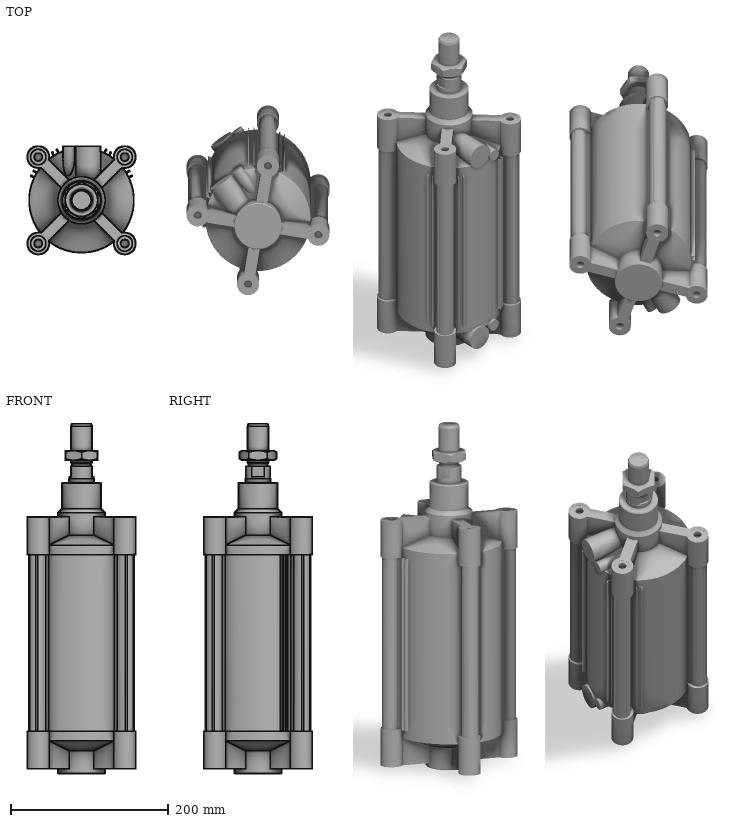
import cadquery as cq
import math


REAR_COLLAR_Z = 0.0
REAR_FACE_Z = 6.2
BARREL_BOTTOM_Z = 54.5
CAP_LENGTH = BARREL_BOTTOM_Z - REAR_FACE_Z
BARREL_TOP_Z = 278.5
NECK_TOP_Z = 370.2
ROD_SHOULDER_Z = 391.0
ROD_TOP_Z = 445.0
NUT_BOTTOM_Z = 398.5
NUT_HEIGHT = 12.0

BARREL_DIA = 133.5
BORE_DIA = 125.0
BEAD_DIA = 21.5
BEAD_OFFSET = 56.0
BEAD_GROOVE_OFFSET = 57.0
BEAD_GROOVE_WIDTH = 2.2
BEAD_GROOVE_DEPTH = 1.0
WEB_WIDTH = 15.0

CHANNEL_SPREAD = 16.3
CHANNEL_WIDTH = 8.0
CHANNEL_HEIGHT = 5.0
CHANNEL_MOUTH = 5.5
CHANNEL_WALL = 1.1

RIB_WIDTH = 14.2
RIM_HEIGHT = 12.0
CONE_HEIGHT = 13.0
COLLAR_DIA = 60.0
NECK_DIA = 50.0
NECK_CHAMFER = 1.0
COLLAR_STEP = 5.5
COLLAR_CHAMFER = 1.0
BOSS_DIA = 28.0
BOSS_OFFSET = 54.95
SCREW_HEAD_DIA = 19.5
SCREW_HEAD_DEPTH = 0.22
SOCKET_DIA = 10.2
SOCKET_DEPTH = 9.0
PORT_END_Y = BOSS_OFFSET + BOSS_DIA / 2
PORT_DIA = 31.5
PORT_X = 8.5
CUSHION_DIA = 15.0
CUSHION_X = -16.0
CUSHION_HEIGHT = 15.5

ROD_DIA = 32.0
ROD_END_DIA = 31.5
ROD_END_Z = 375.0
THREAD_DIA = 27.0
UNDERCUT_DIA = 24.5
UNDERCUT_HEIGHT = 2.5
UNDERCUT_TAPER = 2.2
TIP_DIA = 24.5
TIP_CHAMFER = 3.0
ROD_FLATS = 27.0
ROD_FLATS_BOTTOM_Z = 377.5
NUT_FLATS = 41.0

BACK_CORNER_ANGLES = [45, 135]


def rod_between(dia, bottom, top):
    """Cylinder on the Z axis between two heights."""
    return cq.Workplane("XY").workplane(offset=bottom).circle(dia / 2).extrude(top - bottom)


def corner_points(offset):
    return [(x, y) for x in (-offset, offset) for y in (-offset, offset)]


def diagonal_ribs(width, reach, bottom, top):
    """Crossing bars from the axis towards the four corners."""
    bars = cq.Workplane("XY").workplane(offset=bottom)
    bars = bars.transformed(rotate=(0, 0, 45)).rect(2 * reach, width).extrude(top - bottom)
    return bars.union(bars.rotate((0, 0, 0), (0, 0, 1), 90))


def sensor_channel(angle):
    """C-shaped channel that stands radially on the barrel at the given angle."""
    root = BORE_DIA / 2 + (BARREL_DIA - BORE_DIA) / 4
    tip = BARREL_DIA / 2 + CHANNEL_HEIGHT
    height = BARREL_TOP_Z - BARREL_BOTTOM_Z
    half_inside = CHANNEL_WIDTH / 2 - CHANNEL_WALL
    half_mouth = CHANNEL_MOUTH / 2
    half = [
        (root, CHANNEL_WIDTH / 2),
        (tip, CHANNEL_WIDTH / 2),
        (tip, half_mouth),
        (tip - CHANNEL_WALL, half_mouth),
        (tip - CHANNEL_WALL, half_inside),
        (root, half_inside),
    ]
    jaw = cq.Workplane("XY").workplane(offset=BARREL_BOTTOM_Z).polyline(half).close().extrude(height)
    return jaw.union(jaw.mirror("XZ")).rotate((0, 0, 0), (0, 0, 1), angle)


def make_barrel():
    height = BARREL_TOP_Z - BARREL_BOTTOM_Z
    base = cq.Workplane("XY").workplane(offset=BARREL_BOTTOM_Z)
    barrel = rod_between(BARREL_DIA, BARREL_BOTTOM_Z, BARREL_TOP_Z)

    bead_reach = BEAD_OFFSET * math.sqrt(2)
    barrel = barrel.union(diagonal_ribs(WEB_WIDTH, bead_reach, BARREL_BOTTOM_Z, BARREL_TOP_Z))
    barrel = barrel.union(base.pushPoints(corner_points(BEAD_OFFSET)).circle(BEAD_DIA / 2).extrude(height))

    groove_place = BEAD_OFFSET + BEAD_DIA / 2
    groove_size = 2 * BEAD_GROOVE_DEPTH
    x_side_points = [(x * groove_place, y * BEAD_GROOVE_OFFSET) for x, y in corner_points(1)]
    y_side_points = [(x * BEAD_GROOVE_OFFSET, y * groove_place) for x, y in corner_points(1)]
    x_side_grooves = base.pushPoints(x_side_points).rect(groove_size, BEAD_GROOVE_WIDTH).extrude(height)
    y_side_grooves = base.pushPoints(y_side_points).rect(BEAD_GROOVE_WIDTH, groove_size).extrude(height)
    barrel = barrel.cut(x_side_grooves).cut(y_side_grooves)

    for corner in BACK_CORNER_ANGLES:
        for angle in (corner - CHANNEL_SPREAD, corner + CHANNEL_SPREAD):
            barrel = barrel.union(sensor_channel(angle))

    return barrel.cut(rod_between(BORE_DIA, BARREL_BOTTOM_Z, BARREL_TOP_Z))


def side_stub(x, z, dia):
    """Cylinder along Y from the cap's middle to the port face."""
    return cq.Workplane("XZ").center(x, z).circle(dia / 2).extrude(-PORT_END_Y)


def cap_shell(collar_length):
    """End cap with its joint face at Z = 0, its outer face at Z = CAP_LENGTH and a round collar."""
    rim_radius = BARREL_DIA / 2
    cone_top = RIM_HEIGHT + CONE_HEIGHT
    profile = [
        (0, 0),
        (rim_radius, 0),
        (rim_radius, RIM_HEIGHT),
        (COLLAR_DIA / 2, cone_top),
        (0, cone_top),
    ]
    cap = cq.Workplane("XZ").polyline(profile).close().revolve(360, (0, 0), (0, 1))
    cap = cap.union(rod_between(COLLAR_DIA, 0, collar_length))
    cap = cap.union(diagonal_ribs(RIB_WIDTH, BOSS_OFFSET * math.sqrt(2), 0, CAP_LENGTH))
    bosses = cq.Workplane("XY").pushPoints(corner_points(BOSS_OFFSET)).circle(BOSS_DIA / 2)
    cap = cap.union(bosses.extrude(CAP_LENGTH))

    cap = cap.union(side_stub(PORT_X, CAP_LENGTH / 2, PORT_DIA))
    cap = cap.union(side_stub(CUSHION_X, CUSHION_HEIGHT, CUSHION_DIA))

    face = cq.Workplane("XY").workplane(offset=CAP_LENGTH).pushPoints(corner_points(BOSS_OFFSET))
    cap = cap.cut(face.circle(SCREW_HEAD_DIA / 2).extrude(-SCREW_HEAD_DEPTH))
    return cap.cut(face.circle(SOCKET_DIA / 2).extrude(-SOCKET_DEPTH))


def make_rear_cap():
    cap = cap_shell(BARREL_BOTTOM_Z - REAR_COLLAR_Z).faces(">Z").chamfer(COLLAR_CHAMFER)
    return cap.mirror("XY").translate((0, 0, BARREL_BOTTOM_Z))


def make_front_cap():
    collar_top = BARREL_TOP_Z + CAP_LENGTH + COLLAR_STEP
    cap = cap_shell(CAP_LENGTH + COLLAR_STEP).translate((0, 0, BARREL_TOP_Z))

    neck_radius = NECK_DIA / 2
    profile = [
        (0, collar_top),
        (COLLAR_DIA / 2, collar_top),
        (neck_radius, collar_top + (COLLAR_DIA - NECK_DIA) / 2),
        (neck_radius, NECK_TOP_Z - NECK_CHAMFER),
        (neck_radius - NECK_CHAMFER, NECK_TOP_Z),
        (0, NECK_TOP_Z),
    ]
    neck = cq.Workplane("XZ").polyline(profile).close().revolve(360, (0, 0), (0, 1))
    return cap.union(neck).cut(rod_between(ROD_DIA, BARREL_TOP_Z, NECK_TOP_Z))


def make_piston_rod():
    undercut_top = ROD_SHOULDER_Z + UNDERCUT_HEIGHT
    profile = [
        (0, BARREL_TOP_Z),
        (ROD_DIA / 2, BARREL_TOP_Z),
        (ROD_DIA / 2, ROD_END_Z),
        (ROD_END_DIA / 2, ROD_END_Z),
        (ROD_END_DIA / 2, ROD_SHOULDER_Z),
        (UNDERCUT_DIA / 2, ROD_SHOULDER_Z),
        (UNDERCUT_DIA / 2, undercut_top),
        (THREAD_DIA / 2, undercut_top + UNDERCUT_TAPER),
        (THREAD_DIA / 2, ROD_TOP_Z - TIP_CHAMFER),
        (TIP_DIA / 2, ROD_TOP_Z),
        (0, ROD_TOP_Z),
    ]
    rod = cq.Workplane("XZ").polyline(profile).close().revolve(360, (0, 0), (0, 1))

    flats = cq.Workplane("XY").workplane(offset=ROD_FLATS_BOTTOM_Z).rect(ROD_DIA * 2, ROD_DIA * 2)
    flats = flats.rect(ROD_FLATS, ROD_DIA * 2).extrude(ROD_SHOULDER_Z - ROD_FLATS_BOTTOM_Z)
    return rod.cut(flats)


def make_nut():
    """Hexagon nut with corners on the Y axis, its corners turned off at 30 degrees."""
    corner_radius = NUT_FLATS / math.sqrt(3)
    face_radius = NUT_FLATS / 2
    drop = (corner_radius - face_radius) * math.tan(math.radians(30))
    nut = cq.Workplane("XY").workplane(offset=NUT_BOTTOM_Z).transformed(rotate=(0, 0, 90))
    nut = nut.polygon(6, 2 * corner_radius).extrude(NUT_HEIGHT)
    nut_top = NUT_BOTTOM_Z + NUT_HEIGHT
    turned = [
        (0, NUT_BOTTOM_Z),
        (face_radius, NUT_BOTTOM_Z),
        (corner_radius, NUT_BOTTOM_Z + drop),
        (corner_radius, nut_top - drop),
        (face_radius, nut_top),
        (0, nut_top),
    ]
    nut = nut.intersect(cq.Workplane("XZ").polyline(turned).close().revolve(360, (0, 0), (0, 1)))
    return nut.cut(rod_between(THREAD_DIA, NUT_BOTTOM_Z, nut_top))


barrel = make_barrel()
rear_cap = make_rear_cap()
front_cap = make_front_cap()
piston_rod = make_piston_rod()
nut = make_nut()

result = cq.Compound.makeCompound(
    [barrel.val(), rear_cap.val(), front_cap.val(), piston_rod.val(), nut.val()]
)